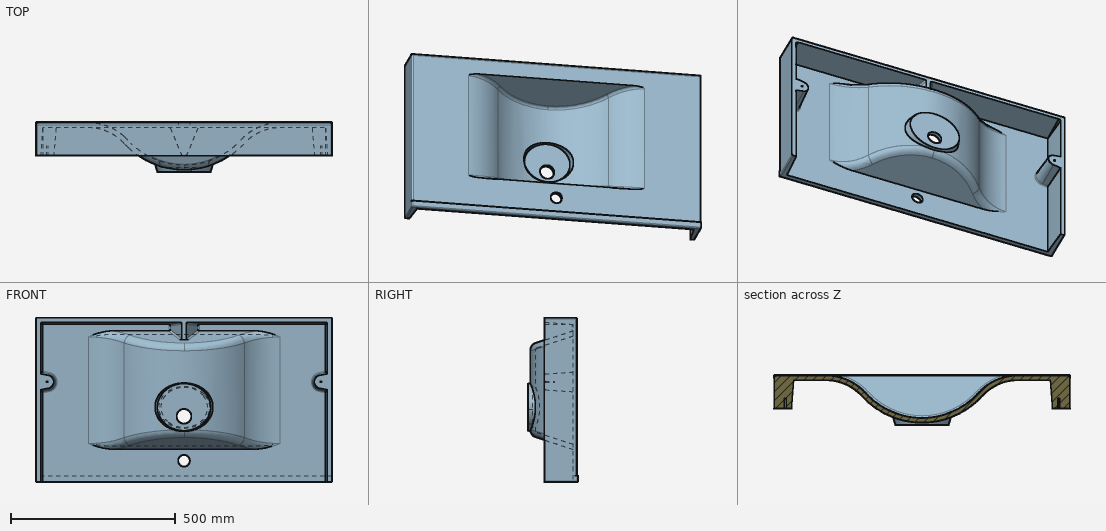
import cadquery as cq
import math


width = 900.0
height = 500.0
body_depth = 100.0
corner_radius = 4.0
back_edge_radius = 6.0

lip_height = 20.0
lip_rise = 3.0
lip_edge_radius = 4.0
total_depth = body_depth + lip_rise

rim_thickness = 14.0
cavity_depth = 86.0
cavity_draft = 4.0

bowl_center_z = 280.0
bowl_half_width = 291.0
bowl_half_height = 180.0
bowl_crown = 43.0
bowl_crown_radius = 247.0
bowl_end_slope = 18.0
bowl_edge_radius = 25.0
bowl_wall = 15.0

boss_center_z = 228.0
boss_reach = 50.0
boss_half_width = 81.0
boss_half_height = 71.5
boss_draft = 17.0
boss_wall = 14.0
waste_z = 200.0
waste_diameter = 44.0
tap_z = 65.0
tap_diameter = 35.0

lug_x = 416.0
lug_z = 305.0
lug_tip_radius = 20.0
lug_draft = 4.4
lug_flare = 11.0
lug_wall_overlap = 2.0
lug_root_radius = 3.0
lug_hole_diameter = 4.0
lug_hole_depth = 30.0

web_front_width = 14.0
web_floor_width = 85.0
web_bottom_z = 385.0
web_root_radius = 5.0

edge_margin = 1.0


def xz_plane(y):
    """Sketch plane at the given Y whose normal points toward -Y."""
    return cq.Workplane("XZ", origin=(0, y, 0))


def make_shell():
    """Rounded tray with the lip on its back face and a drafted hollow behind the rim."""
    body = xz_plane(body_depth).rect(width, height).extrude(body_depth).translate((0, 0, height / 2))
    body = body.edges("|Y").fillet(corner_radius)
    body = body.faces(">Y").edges().fillet(back_edge_radius)
    lip = cq.Workplane("XY").box(width, total_depth, lip_height, centered=(True, False, False))
    lip = lip.edges("|Y and <Z").fillet(corner_radius)
    lip = lip.faces(">Y").edges("not >Z").fillet(lip_edge_radius)

    shrink = cavity_depth * math.tan(math.radians(cavity_draft))
    floor_half_width = width / 2 - rim_thickness - shrink
    floor_top = height - rim_thickness - shrink
    overrun = height / 2
    cavity = (
        xz_plane(cavity_depth)
        .moveTo(-floor_half_width, -overrun)
        .lineTo(floor_half_width, -overrun)
        .lineTo(floor_half_width, floor_top)
        .lineTo(-floor_half_width, floor_top)
        .close()
        .extrude(cavity_depth, taper=-cavity_draft)
    )
    return body.union(lip).cut(cavity)


def make_bowl_form(inset):
    """Bowl shape shrunk by `inset` from its outer skin, running on past the back face."""
    radius = bowl_crown_radius - inset
    crown_y = inset - bowl_crown
    joint_angle = 2 * math.atan((bowl_crown + cavity_depth) / bowl_half_width)
    root_y = total_depth + bowl_edge_radius

    def crown_point(angle):
        return (radius * math.sin(angle), crown_y + radius * (1 - math.cos(angle)))

    half_section = (
        cq.Workplane("XY")
        .moveTo(0, crown_y)
        .threePointArc(crown_point(joint_angle / 2), crown_point(joint_angle))
        .tangentArcPoint((bowl_half_width, cavity_depth + inset), relative=False)
        .lineTo(bowl_half_width, root_y)
        .lineTo(0, root_y)
        .close()
        .extrude(height)
    )
    sweep = half_section.union(half_section.mirror("YZ"), clean=False)

    slope = math.radians(bowl_end_slope)
    floor_half = bowl_half_height - inset / math.cos(slope)
    root_half = floor_half + (root_y - cavity_depth) * math.tan(slope)
    tip_half = floor_half - (cavity_depth + boss_reach) * math.tan(slope)
    envelope = (
        cq.Workplane("YZ", origin=(-bowl_half_width, 0, 0))
        .moveTo(root_y, bowl_center_z - root_half)
        .lineTo(root_y, bowl_center_z + root_half)
        .lineTo(-boss_reach, bowl_center_z + tip_half)
        .lineTo(-boss_reach, bowl_center_z - tip_half)
        .close()
        .extrude(2 * bowl_half_width)
    )
    form = sweep.intersect(envelope, clean=False)
    return form.edges("%ELLIPSE").fillet(bowl_edge_radius - inset)


def make_bowl():
    """Outer skin of the bowl, ending inside the floor behind the rim."""
    trim_y = (cavity_depth + body_depth) / 2
    keep = cq.Workplane("XY", origin=(0, -boss_reach, 0)).box(
        width, trim_y + boss_reach, height, centered=(True, False, False)
    )
    return make_bowl_form(0).intersect(keep, clean=False)


def make_boss_form(inset):
    """Tapered oval from inside the bowl to the boss face, shrunk by `inset` from the outer skin."""
    draft = math.radians(boss_draft)
    reach = boss_reach - inset
    growth = boss_reach * math.tan(draft) - inset / math.cos(draft)
    tip_growth = growth - reach * math.tan(draft)
    return (
        cq.Workplane("XZ", origin=(0, 0, boss_center_z))
        .ellipse(boss_half_width + growth, boss_half_height + growth)
        .workplane(offset=reach)
        .ellipse(boss_half_width + tip_growth, boss_half_height + tip_growth)
        .loft(ruled=True)
    )


def make_lug():
    """Round-nosed post on the +X wall, tapering from the floor to the rim edge."""
    flare = math.radians(lug_flare)
    radius = lug_tip_radius + cavity_depth * math.tan(math.radians(lug_draft))
    tangent_x = radius * math.sin(flare)
    tangent_z = radius * math.cos(flare)
    root_x = width / 2 - lug_wall_overlap - lug_x
    root_z = radius / math.cos(flare) + root_x * math.tan(flare)
    return (
        cq.Workplane("XZ", origin=(lug_x, cavity_depth, lug_z))
        .moveTo(root_x, -root_z)
        .lineTo(-tangent_x, -tangent_z)
        .threePointArc((-radius, 0), (-tangent_x, tangent_z))
        .lineTo(root_x, root_z)
        .close()
        .extrude(cavity_depth, taper=lug_draft)
    )


def make_web():
    """Wedge from the rim into the bowl, narrow at the rim edge and wide at the floor."""
    return (
        cq.Workplane("XY", origin=(0, 0, web_bottom_z))
        .moveTo(-web_front_width / 2, 0)
        .lineTo(web_front_width / 2, 0)
        .lineTo(web_floor_width / 2, cavity_depth)
        .lineTo(-web_floor_width / 2, cavity_depth)
        .close()
        .extrude(height - rim_thickness / 2 - web_bottom_z)
    )


def edges_within(x_limits, y_limits, z_limits):
    """Selector for edges lying wholly inside a box."""
    low, high = zip(x_limits, y_limits, z_limits)
    return cq.selectors.BoxSelector(low, high, boundingbox=True)


def round_web_roots(part):
    """Round the web where it meets the rim, the floor and the bowl; its front edges stay sharp."""
    x_limits = (-web_floor_width, web_floor_width)
    z_limits = (web_bottom_z, height - edge_margin)
    all_edges = edges_within(x_limits, (-edge_margin, body_depth), z_limits)
    front_edges = edges_within(x_limits, (-edge_margin, edge_margin), z_limits)
    return part.edges(all_edges - front_edges).fillet(web_root_radius)


def round_lug_roots(part):
    """Round each lug where it meets the floor."""
    reach = 2 * lug_tip_radius
    x_wall = width / 2 - edge_margin
    y_limits = (cavity_depth - edge_margin, cavity_depth + edge_margin)
    z_limits = (lug_z - reach, lug_z + reach)
    for x_limits in ((-x_wall, reach - lug_x), (lug_x - reach, x_wall)):
        floor_edges = edges_within(x_limits, y_limits, z_limits)
        part = part.edges(floor_edges).fillet(lug_root_radius)
    return part


def make_hole(x, z, diameter, y_start, y_end):
    """Cylinder along Y used to drill a hole."""
    return cq.Workplane("XZ", origin=(x, y_end, z)).circle(diameter / 2).extrude(y_end - y_start)


def drill_holes(part):
    part = part.cut(make_hole(0, waste_z, waste_diameter, -boss_reach, total_depth))
    part = part.cut(make_hole(0, tap_z, tap_diameter, 0, total_depth))
    for x_center in (-lug_x, lug_x):
        part = part.cut(make_hole(x_center, lug_z, lug_hole_diameter, 0, lug_hole_depth))
    return part


shell_and_bowl = make_shell().union(make_bowl())
webbed = round_web_roots(shell_and_bowl.union(make_web()))
lug = make_lug()
lugged = round_lug_roots(webbed.union(make_boss_form(0)).union(lug).union(lug.mirror("YZ")))
hollowed = lugged.cut(make_bowl_form(bowl_wall)).cut(make_boss_form(boss_wall))
result = drill_holes(hollowed)